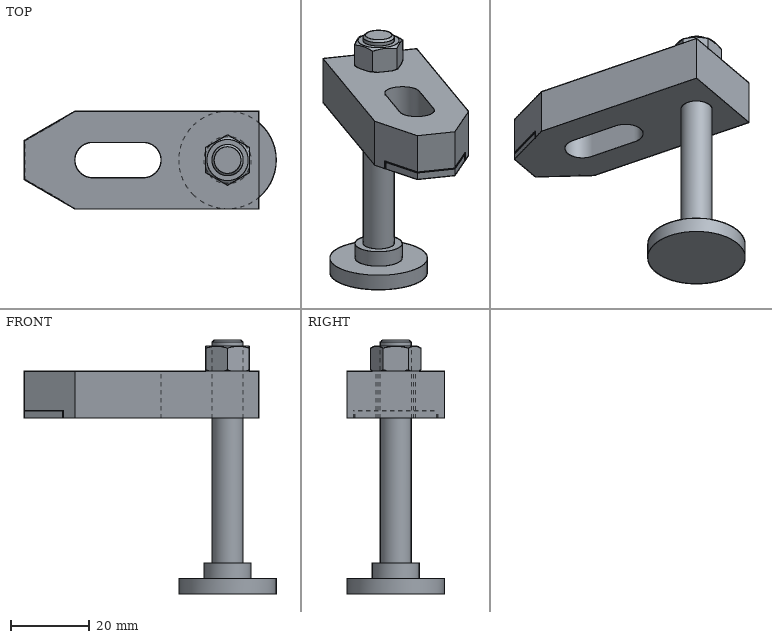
import cadquery as cq
import math

arm_length = 60.0
arm_width = 25.0
arm_height = 12.0
arm_bottom = 45.0
arm_top = arm_bottom + arm_height
nose_width = 10.0
nose_length = 13.0
slot_length = 22.0
slot_width = 9.0
slot_start = nose_length

groove_width = 0.2
groove_depth = 0.2
contact_length = 10.0
contact_height = 2.0

stud_x = 52.0
foot_diameter = 24.95
foot_height = 4.0
collar_diameter = 12.1
collar_top = 8.0
shank_diameter = 8.0
stud_height = 65.0
tip_chamfer = 0.6

nut_across_flats = 11.2
nut_across_corners = nut_across_flats / math.cos(math.pi / 6)
nut_height = 6.5
nut_top_face_diameter = 10.5
nut_top_bevel_drop = 0.6
nut_bottom_face_diameter = 11.8
nut_bottom_bevel_rise = 0.4


def make_arm_outline():
    """Closed wire of the rectangular arm with its tapered nose."""
    half_width = arm_width / 2
    half_nose = nose_width / 2
    return (
        cq.Workplane("XY", origin=(0, 0, arm_bottom))
        .moveTo(0, -half_nose)
        .lineTo(nose_length, -half_width)
        .lineTo(arm_length, -half_width)
        .lineTo(arm_length, half_width)
        .lineTo(nose_length, half_width)
        .lineTo(0, half_nose)
        .close()
    )


def make_contact_block(length, height):
    """Block across the arm's width, from the nose tip and the underside."""
    return cq.Workplane("XY", origin=(0, 0, arm_bottom)).box(
        length, arm_width, height, centered=(False, True, False)
    )


def make_contact_groove():
    """L-shaped band around the contact area, reaching only groove_depth into the arm."""
    band = make_contact_block(contact_length, contact_height).cut(
        make_contact_block(contact_length - groove_width, contact_height - groove_width)
    )
    arm_core = make_arm_outline().offset2D(-groove_depth).extrude(arm_height)
    return band.cut(arm_core)


def make_arm():
    """Arm with a long slot, a stud hole and the contact groove."""
    slot = (
        cq.Workplane("XY", origin=(slot_start + slot_length / 2, 0, arm_bottom))
        .slot2D(slot_length, slot_width)
        .extrude(arm_height)
    )
    stud_hole = (
        cq.Workplane("XY", origin=(stud_x, 0, arm_bottom))
        .circle(shank_diameter / 2)
        .extrude(arm_height)
    )
    blank = make_arm_outline().extrude(arm_height)
    return blank.cut(slot).cut(stud_hole).cut(make_contact_groove())


def make_nut():
    """Hexagon nut with conical bevels and a stud bore, corners pointing along Y."""
    corner_radius = nut_across_corners / 2
    hexagon = (
        cq.Workplane("XY", origin=(stud_x, 0, arm_top))
        .transformed(rotate=(0, 0, 90))
        .polygon(6, nut_across_corners)
        .extrude(nut_height)
    )
    bevel_envelope = (
        cq.Workplane("XZ", origin=(stud_x, 0, arm_top))
        .lineTo(nut_bottom_face_diameter / 2, 0)
        .lineTo(corner_radius, nut_bottom_bevel_rise)
        .lineTo(corner_radius, nut_height - nut_top_bevel_drop)
        .lineTo(nut_top_face_diameter / 2, nut_height)
        .lineTo(0, nut_height)
        .close()
        .revolve(360, (0, 0, 0), (0, 1, 0))
    )
    bore = (
        cq.Workplane("XY", origin=(stud_x, 0, arm_top))
        .circle(shank_diameter / 2)
        .extrude(nut_height)
    )
    return hexagon.intersect(bevel_envelope).cut(bore)


def make_stud():
    """Foot, collar and shank with a chamfered tip, in one piece."""
    axis = cq.Workplane("XY", origin=(stud_x, 0, 0))
    foot = axis.circle(foot_diameter / 2).extrude(foot_height)
    collar = axis.circle(collar_diameter / 2).extrude(collar_top)
    shank = axis.circle(shank_diameter / 2).extrude(stud_height).faces(">Z").edges().chamfer(tip_chamfer)
    return foot.union(collar).union(shank)


arm = make_arm()
stud = make_stud()
nut = make_nut()

result = cq.Compound.makeCompound([arm.val(), stud.val(), nut.val()])